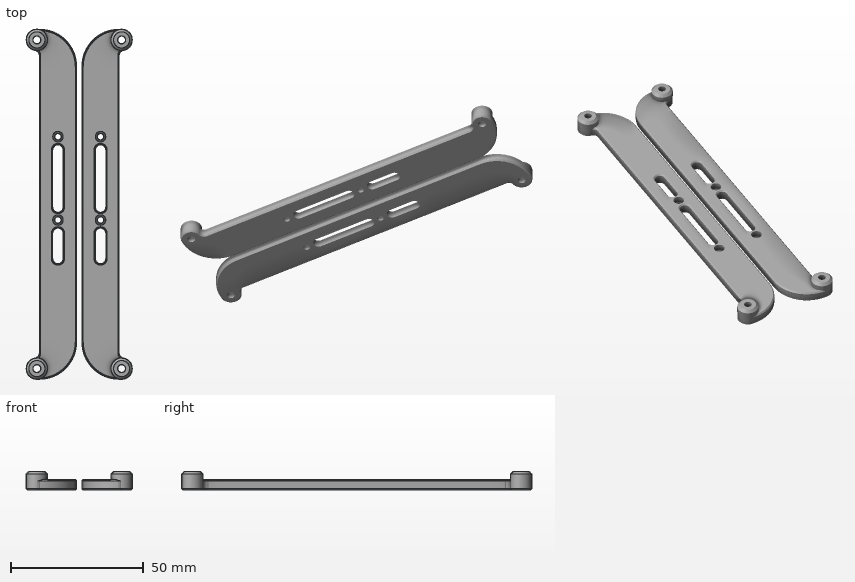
import cadquery as cq
import math

total_length = 132.0
total_width = 40.0
total_height = 7.0
boss_diameter = 8.0
boss_hole_diameter = 2.9
boss_top_chamfer = 0.99
boss_radius = boss_diameter / 2
boss_x = total_width / 2 - boss_radius
boss_y = total_length / 2 - boss_radius

bar_thickness = 4.0
bar_inner_x = 1.0
bar_outer_x = 15.0
bar_center_x = (bar_inner_x + bar_outer_x) / 2
edge_chamfer = 0.5
neck_fillet = 2.0

boss_overlap = 0.01

screw_hole_diameter = 2.4
screw_head_diameter = 4.0
screw_head_depth = 2.6
screw_hole_ys = [25.5, -6.0]

slot_width = 4.0
slot_spans = [(-3.0, 22.5), (-22.5, -9.0)]


def mirrored(point):
    """Reflect an outline point from the +Y end to the -Y end."""
    return (point[0], -point[1])


def bar_blank():
    """Bar with chamfered rims whose two ends sweep outward and stop inside the bosses."""
    end_y = total_length / 2 - boss_overlap
    end_radius = bar_outer_x - bar_inner_x
    arc_center_y = end_y - end_radius
    diagonal = end_radius * math.sqrt(0.5)
    arc_mid = (bar_outer_x - diagonal, arc_center_y + diagonal)
    arc_end = (bar_outer_x, end_y)
    flat_end = (boss_x, end_y)
    boss_center = (boss_x, boss_y)

    neck_radius = boss_radius - boss_overlap
    fillet_x = bar_outer_x + neck_fillet
    fillet_y = boss_y - math.sqrt((neck_radius + neck_fillet) ** 2 - (fillet_x - boss_x) ** 2)
    neck_angle = math.atan2(fillet_y - boss_y, fillet_x - boss_x)
    neck_start = (
        boss_x + neck_radius * math.cos(neck_angle),
        boss_y + neck_radius * math.sin(neck_angle),
    )
    mid_angle = math.pi + neck_angle / 2
    neck_mid = (
        fillet_x + neck_fillet * math.cos(mid_angle),
        fillet_y + neck_fillet * math.sin(mid_angle),
    )
    neck_end = (bar_outer_x, fillet_y)

    outline = (
        cq.Workplane("XY")
        .moveTo(bar_inner_x, -arc_center_y)
        .lineTo(bar_inner_x, arc_center_y)
        .threePointArc(arc_mid, arc_end)
        .lineTo(*flat_end)
        .lineTo(*boss_center)
        .lineTo(*neck_start)
        .threePointArc(neck_mid, neck_end)
        .lineTo(*mirrored(neck_end))
        .threePointArc(mirrored(neck_mid), mirrored(neck_start))
        .lineTo(*mirrored(boss_center))
        .lineTo(*mirrored(flat_end))
        .lineTo(*mirrored(arc_end))
        .threePointArc(mirrored(arc_mid), (bar_inner_x, -arc_center_y))
        .close()
    )
    return outline.extrude(bar_thickness).faces("<Z or >Z").edges().chamfer(edge_chamfer)


def boss(y):
    """Raised cylinder with a wide top chamfer and a small bottom chamfer."""
    cylinder = cq.Workplane("XY").center(boss_x, y).circle(boss_radius).extrude(total_height)
    return cylinder.faces(">Z").chamfer(boss_top_chamfer).faces("<Z").chamfer(edge_chamfer)


def boss_hole(y):
    return cq.Workplane("XY").center(boss_x, y).circle(boss_hole_diameter / 2).extrude(total_height)


def screw_hole(y):
    """Through hole with a counterbore for the screw head."""
    plane = cq.Workplane("XY").center(bar_center_x, y)
    shank = plane.circle(screw_hole_diameter / 2).extrude(bar_thickness)
    head = (
        plane.workplane(offset=bar_thickness - screw_head_depth)
        .circle(screw_head_diameter / 2)
        .extrude(screw_head_depth)
    )
    return shank.union(head)


def slot(lower_y, upper_y):
    """Through slot with rounded ends and a chamfered rim on the top face."""
    plane = cq.Workplane("XY").center(bar_center_x, (lower_y + upper_y) / 2)
    length = upper_y - lower_y
    through = plane.slot2D(length, slot_width, 90).extrude(bar_thickness)
    rim = (
        plane.workplane(offset=bar_thickness)
        .slot2D(length + 2 * edge_chamfer, slot_width + 2 * edge_chamfer, 90)
        .extrude(-edge_chamfer, taper=45)
    )
    return through.union(rim)


def rail():
    """Complete rail on the +X side."""
    body = bar_blank()
    for y in (-boss_y, boss_y):
        body = body.union(boss(y)).cut(boss_hole(y))
    for y in screw_hole_ys:
        body = body.cut(screw_hole(y))
    for lower_y, upper_y in slot_spans:
        body = body.cut(slot(lower_y, upper_y))
    return body


right_rail = rail()
left_rail = right_rail.mirror("YZ")

result = cq.Compound.makeCompound([left_rail.val(), right_rail.val()])